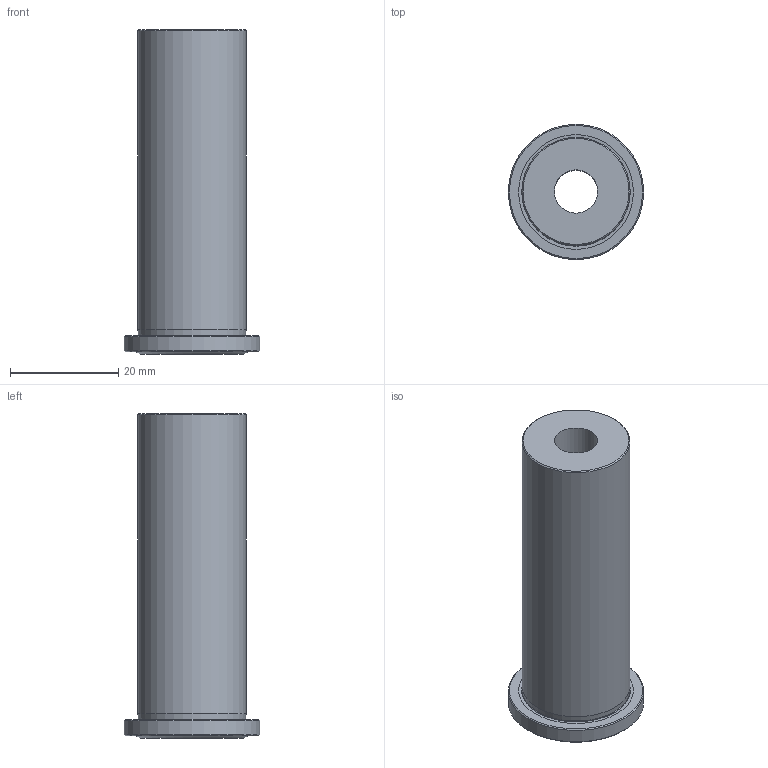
import cadquery as cq
import math

total_height = 60.0
body_radius = 10.0
flange_radius = 12.5
bore_radius = 4.0

flange_bottom = 0.5
flange_thickness = 3.0
flange_top = flange_bottom + flange_thickness

flange_chamfer = 0.2
body_chamfer = 0.2

boss_end_radius = 9.5
boss_arc_radius = 2.0
boss_arc_angle = math.acos(1 - flange_bottom / boss_arc_radius)
boss_root_radius = boss_end_radius + boss_arc_radius * math.sin(boss_arc_angle)

undercut_height = 1.1
undercut_outer_radius = 10.6
undercut_fillet = 0.1
steep_angle = math.radians(85)
shallow_angle = math.radians(4)
undercut_top = flange_top + undercut_height


def boss_arc_middle():
    """Point halfway along the concave side of the boss."""
    half_angle = boss_arc_angle / 2
    radius = boss_root_radius - boss_arc_radius * math.sin(half_angle)
    height = flange_bottom - boss_arc_radius * (1 - math.cos(half_angle))
    return (radius, height)


def along(point, angle, distance):
    """Point reached from the given (radius, height) point along an angle from the radial direction."""
    return (
        point[0] + distance * math.cos(angle),
        point[1] + distance * math.sin(angle),
    )


def undercut_corner():
    """Sharp corner where the steep and shallow cones of the undercut meet."""
    steep_slope = math.tan(steep_angle)
    shallow_slope = math.tan(shallow_angle)
    steep_part = steep_slope * body_radius - undercut_height
    shallow_part = shallow_slope * undercut_outer_radius
    radius = (steep_part - shallow_part) / (steep_slope - shallow_slope)
    height = flange_top - shallow_slope * (undercut_outer_radius - radius)
    return (radius, height)


def undercut_fillet_points():
    """Start, middle and end of the fillet, going from the shallow cone to the steep cone."""
    corner = undercut_corner()
    half_angle = (steep_angle - shallow_angle) / 2
    bisector = (steep_angle + shallow_angle) / 2
    tangent_length = undercut_fillet / math.tan(half_angle)
    middle_distance = undercut_fillet / math.sin(half_angle) - undercut_fillet
    start = along(corner, shallow_angle, tangent_length)
    middle = along(corner, bisector, middle_distance)
    end = along(corner, steep_angle, tangent_length)
    return start, middle, end


def make_pin():
    """Revolve the half section, drawn as (radius, height), about the Z axis."""
    fillet_start, fillet_middle, fillet_end = undercut_fillet_points()
    section = (
        cq.Workplane("XZ")
        .moveTo(bore_radius, 0)
        .lineTo(boss_end_radius, 0)
        .threePointArc(boss_arc_middle(), (boss_root_radius, flange_bottom))
        .lineTo(flange_radius - flange_chamfer, flange_bottom)
        .lineTo(flange_radius, flange_bottom + flange_chamfer)
        .lineTo(flange_radius, flange_top - flange_chamfer)
        .lineTo(flange_radius - flange_chamfer, flange_top)
        .lineTo(undercut_outer_radius, flange_top)
        .lineTo(*fillet_start)
        .threePointArc(fillet_middle, fillet_end)
        .lineTo(body_radius, undercut_top)
        .lineTo(body_radius, total_height - body_chamfer)
        .lineTo(body_radius - body_chamfer, total_height)
        .lineTo(bore_radius, total_height)
        .close()
    )
    return section.revolve(360, (0, 0, 0), (0, 1, 0))


result = make_pin()